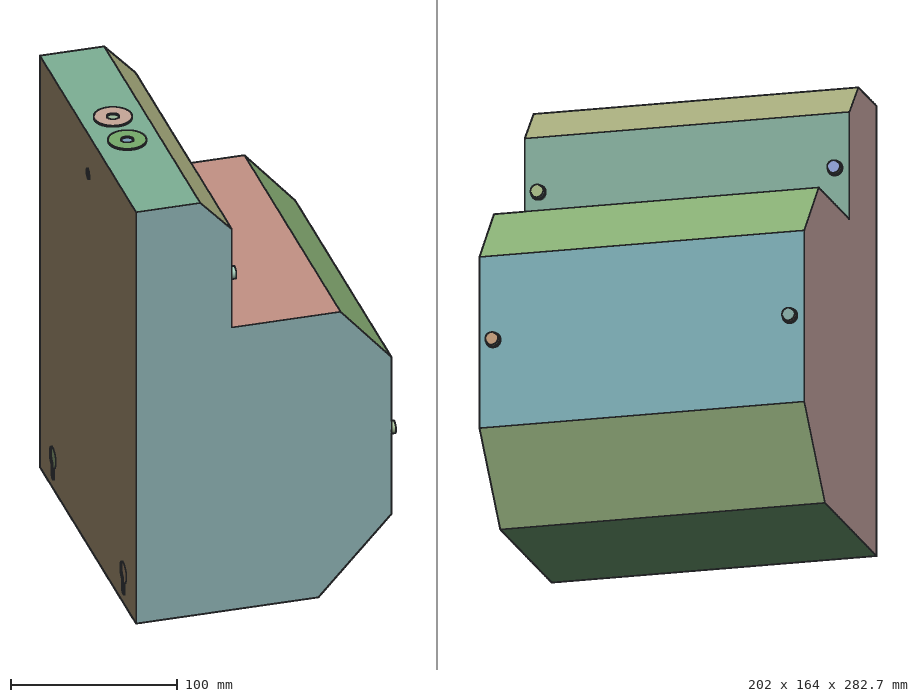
import cadquery as cq

width = 202.0
total_height = 282.7
total_depth = 164.0

disc_height = 1.0
disc_diameter = 23.2
disc_hole_diameter = 7.5
disc_spacing = 30.0
disc_y = 20.0

screw_height = 4.2
screw_diameter = 8.0
collar_diameter = 9.0
collar_height = 0.8
screw_edge_distance = 8.8
upper_screw_z = 225.8
lower_screw_z = 104.3

body_height = total_height - disc_height
body_depth = total_depth - screw_height
upper_depth = 60.0
step_height = 193.3
top_chamfer_depth = 19.8
top_chamfer_height = 21.2
step_chamfer_depth = 32.0
step_chamfer_height = 36.2
bottom_chamfer_depth = 45.8
bottom_chamfer_height = 50.0

mount_depth = 1.0
keyhole_spacing = 148.0
keyhole_z = 21.0
keyhole_diameter = 13.3
keyhole_slot_width = 6.2
keyhole_slot_drop = 12.0
upper_hole_diameter = 6.8
upper_hole_z = 254.5


def make_body():
    """Extrude the stepped side profile across the full width."""
    profile = [
        (0, 0),
        (body_depth - bottom_chamfer_depth, 0),
        (body_depth, bottom_chamfer_height),
        (body_depth, step_height - step_chamfer_height),
        (body_depth - step_chamfer_depth, step_height),
        (upper_depth, step_height),
        (upper_depth, body_height - top_chamfer_height),
        (upper_depth - top_chamfer_depth, body_height),
        (0, body_height),
    ]
    return cq.Workplane("YZ").polyline(profile).close().extrude(width / 2, both=True)


def cylinder_along_y(x, y, z, diameter, length):
    """Cylinder that starts at (x, y, z) and runs toward +Y."""
    start = cq.Vector(x, y, z)
    return cq.Workplane(cq.Solid.makeCylinder(diameter / 2, length, start, cq.Vector(0, 1, 0)))


def make_screw(x, y, z):
    """Round screw head on a thin, wider collar."""
    head = cylinder_along_y(x, y, z, screw_diameter, screw_height)
    collar = cylinder_along_y(x, y, z, collar_diameter, collar_height)
    return head.union(collar)


def make_keyhole(x):
    """Round entry with a narrower round-ended slot below it."""
    entry = cylinder_along_y(x, 0, keyhole_z, keyhole_diameter, mount_depth)
    slot_end = cylinder_along_y(x, 0, keyhole_z - keyhole_slot_drop, keyhole_slot_width, mount_depth)
    slot = (
        cq.Workplane("XY")
        .box(keyhole_slot_width, mount_depth, keyhole_slot_drop, centered=(True, False, False))
        .translate((x, 0, keyhole_z - keyhole_slot_drop))
    )
    return entry.union(slot).union(slot_end)


def make_disc(x):
    """Raised disc with a central hole down to the top face."""
    return (
        cq.Workplane("XY", origin=(x, disc_y, body_height))
        .circle(disc_diameter / 2)
        .circle(disc_hole_diameter / 2)
        .extrude(disc_height)
    )


result = make_body()

for side in (-1, 1):
    screw_x = side * (width / 2 - screw_edge_distance)
    result = result.union(make_screw(screw_x, upper_depth, upper_screw_z))
    result = result.union(make_screw(screw_x, body_depth, lower_screw_z))
    result = result.union(make_disc(side * disc_spacing / 2))
    result = result.cut(make_keyhole(side * keyhole_spacing / 2))

result = result.cut(cylinder_along_y(0, 0, upper_hole_z, upper_hole_diameter, mount_depth))